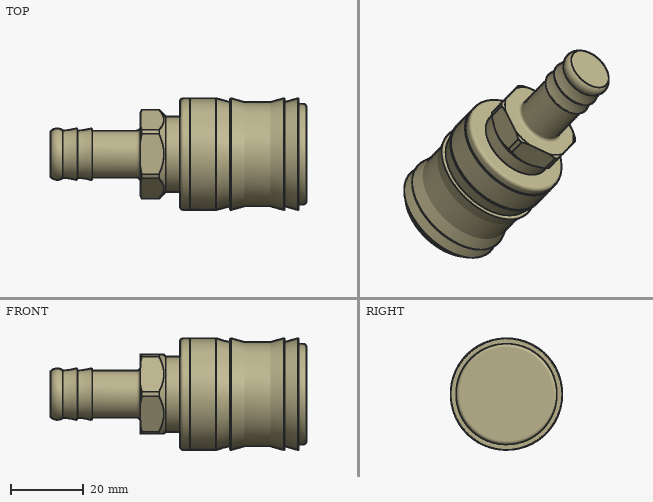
import cadquery as cq
import math

TOTAL_LENGTH = 71.0
BODY_DIAMETER = 31.0
BODY_RADIUS = BODY_DIAMETER / 2
CREST_ROUND = 0.35

ARC_OFFSET = 1 - math.sqrt(0.5)

TAIL_RADIUS = 13.1 / 2
BARB_ROOT_RADIUS = 6.6
BARB_RADIUS = 7.2
TIP_FACE_RADIUS = 12.6 / 2
TIP_LENGTH = 3.5
BARB_STARTS = (TIP_LENGTH, 7.6)
BARB_LENGTH = 3.6
BARB_HOLLOW = 0.11
STEM_FILLET = 1.0

HEX_START = 24.9
HEX_END = 31.95
HEX_FLATS = 22.0
HEX_CORNER_RADIUS = 24.7 / 2
HEX_FRONT_RADIUS = 23.0 / 2
HEX_FRONT_CHAMFER = 0.4
NECK_RADIUS = 21.0 / 2

CAP_START = 35.85
CAP_END = 38.8
CAP_FILLET = (BODY_DIAMETER - 29.0) / 2
LABEL_RING_END = 46.0
GROOVE_WIDTH = 0.2
GROOVE_DEPTH = 0.2

WAIST_RADIUS = 29.0 / 2
REAR_STEP = 49.8
WAIST_START = 53.75
WAIST_END = 61.0
FRONT_STEP = 65.0
SLEEVE_END = 68.9

NOSE_RADIUS = 28.0 / 2
NOSE_FILLET = 1.0


def revolve_about_x(profile):
    """Turn a profile of (X, radius) points, closed along the axis, about the X axis."""
    return profile.close().revolve(360, (0, 0, 0), (1, 0, 0))


def round_crest_down(profile, step, radius):
    """Round a crest of the given radius into a step that faces +X."""
    inset = CREST_ROUND * ARC_OFFSET
    return profile.threePointArc((step - inset, radius - inset), (step, radius - CREST_ROUND))


def round_crest_up(profile, step, radius):
    """Round a step that faces -X into a crest of the given radius."""
    inset = CREST_ROUND * ARC_OFFSET
    return profile.threePointArc((step + inset, radius - inset), (step + CREST_ROUND, radius))


def disc(start, end, radius):
    return cq.Workplane("YZ", origin=(start, 0, 0)).circle(radius).extrude(end - start)


def make_hexagon():
    """Hexagon whose flats face up and down, trimmed to a turned blank."""
    across_corners = HEX_FLATS / math.cos(math.pi / 6)
    prism = (
        cq.Workplane("YZ", origin=(HEX_START, 0, 0))
        .polygon(6, across_corners)
        .extrude(HEX_END - HEX_START)
    )
    rear_chamfer = HEX_CORNER_RADIUS - NECK_RADIUS
    blank = revolve_about_x(
        cq.Workplane("XY")
        .moveTo(HEX_START, 0)
        .lineTo(HEX_START, HEX_FRONT_RADIUS)
        .lineTo(HEX_START + HEX_FRONT_CHAMFER, HEX_CORNER_RADIUS)
        .lineTo(HEX_END - rear_chamfer, HEX_CORNER_RADIUS)
        .lineTo(HEX_END, NECK_RADIUS)
        .lineTo(HEX_END, 0)
    )
    return prism.intersect(blank)


def make_hose_tail():
    """Turned stem: rounded tip, two barbs with hollow flanks, and a fillet into the hexagon."""
    profile = (
        cq.Workplane("XY")
        .moveTo(0, 0)
        .lineTo(0, TIP_FACE_RADIUS)
        .threePointArc((TIP_LENGTH / 2, BARB_RADIUS), (TIP_LENGTH, BARB_ROOT_RADIUS))
    )
    flank_middle_radius = (BARB_ROOT_RADIUS + BARB_RADIUS) / 2 - BARB_HOLLOW
    for start in BARB_STARTS:
        crest = start + BARB_LENGTH
        if start > TIP_LENGTH:
            profile = profile.lineTo(start, TAIL_RADIUS).lineTo(start, BARB_ROOT_RADIUS)
        profile = profile.threePointArc(
            (start + BARB_LENGTH / 2, flank_middle_radius), (crest, BARB_RADIUS)
        )
        profile = round_crest_down(profile, crest + CREST_ROUND, BARB_RADIUS)
        profile = profile.lineTo(crest + CREST_ROUND, TAIL_RADIUS)
    inset = STEM_FILLET * ARC_OFFSET
    profile = (
        profile.lineTo(HEX_START - STEM_FILLET, TAIL_RADIUS)
        .threePointArc(
            (HEX_START - inset, TAIL_RADIUS + inset),
            (HEX_START, TAIL_RADIUS + STEM_FILLET),
        )
        .lineTo(HEX_START, 0)
    )
    return revolve_about_x(profile)


def make_nipple():
    """Hose tail, hexagon and neck in one piece."""
    neck = disc(HEX_END, CAP_START, NECK_RADIUS)
    return make_hose_tail().union(make_hexagon()).union(neck)


def grooved_ring(start, end):
    """Ring of the body diameter with a narrow groove at its +X end."""
    ring = disc(start, end - GROOVE_WIDTH, BODY_RADIUS)
    return ring.union(disc(end - GROOVE_WIDTH, end, BODY_RADIUS - GROOVE_DEPTH))


def make_cap():
    return grooved_ring(CAP_START, CAP_END).faces("<X").edges().fillet(CAP_FILLET)


def make_label_ring():
    return grooved_ring(CAP_END, LABEL_RING_END)


def make_sleeve():
    """Waisted sleeve: a cone down to a step, the waist, and two cones up to rounded crests."""
    profile = (
        cq.Workplane("XY")
        .moveTo(LABEL_RING_END, 0)
        .lineTo(LABEL_RING_END, BODY_RADIUS)
        .lineTo(REAR_STEP, WAIST_RADIUS)
        .lineTo(REAR_STEP, BODY_RADIUS - CREST_ROUND)
    )
    profile = (
        round_crest_up(profile, REAR_STEP, BODY_RADIUS)
        .lineTo(WAIST_START, WAIST_RADIUS)
        .lineTo(WAIST_END, WAIST_RADIUS)
    )
    for step, step_foot in ((FRONT_STEP, WAIST_RADIUS), (SLEEVE_END, 0)):
        profile = profile.lineTo(step - CREST_ROUND, BODY_RADIUS)
        profile = round_crest_down(profile, step, BODY_RADIUS).lineTo(step, step_foot)
    return revolve_about_x(profile)


def make_nose():
    return disc(SLEEVE_END, TOTAL_LENGTH, NOSE_RADIUS).faces(">X").edges().fillet(NOSE_FILLET)


nipple = make_nipple()
cap = make_cap()
label_ring = make_label_ring()
sleeve = make_sleeve()
nose = make_nose()

result = cq.Compound.makeCompound(
    [nipple.val(), cap.val(), label_ring.val(), sleeve.val(), nose.val()]
)